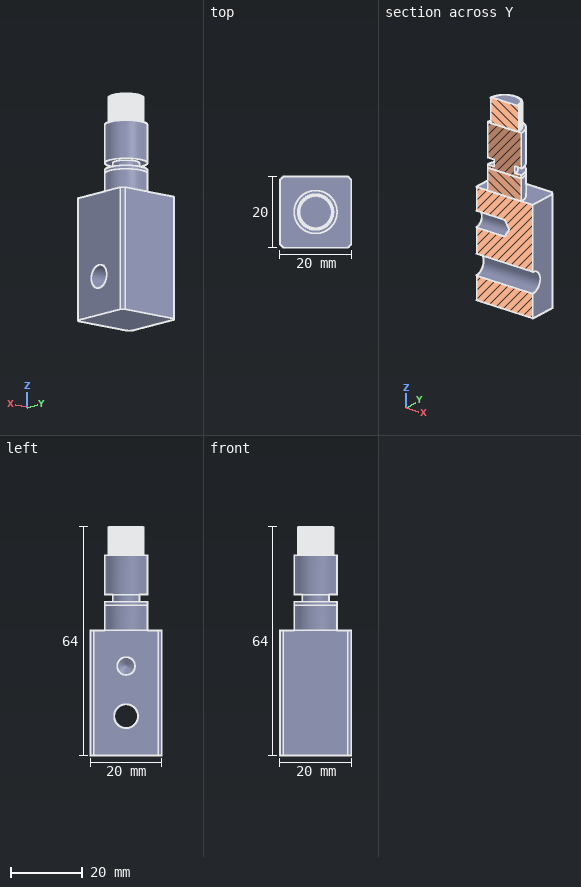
import cadquery as cq
import math

block_width = 20.0
block_height = 35.0
corner_chamfer = 1.0
cross_hole_diameter = 6.6
cross_hole_height = 11.0
blind_hole_diameter = 5.0
blind_hole_height = 25.0
blind_hole_depth = 10.0
drill_tip_angle = 118.0

stem_diameter = 12.0
bush_height = 7.0
flange_height = 1.0
neck_diameter = 7.5
neck_height = 2.0
sleeve_height = 11.0

knob_radius = 5.0
knob_height = 8.0
tooth_count = 50
groove_depth = 0.25
land_width = 0.2
knob_chamfer_width = 0.5
knob_chamfer_angle = 30.0

bush_base = block_height
flange_base = bush_base + bush_height
neck_base = flange_base + flange_height
sleeve_base = neck_base + neck_height
knob_base = sleeve_base + sleeve_height


def disc(diameter, height, base):
    """Cylinder on the Z axis standing on the given height."""
    return cq.Workplane("XY").workplane(offset=base).circle(diameter / 2).extrude(height)


def make_block():
    """Square block with chamfered upright corners and two holes from the -X face."""
    body = cq.Workplane("XY").rect(block_width, block_width).extrude(block_height)
    body = body.edges("|Z").chamfer(corner_chamfer)

    face_x = -block_width / 2
    cross_hole = (
        cq.Workplane("YZ", origin=(face_x, 0, cross_hole_height))
        .circle(cross_hole_diameter / 2)
        .extrude(block_width)
    )

    blind_radius = blind_hole_diameter / 2
    tip_length = blind_radius / math.tan(math.radians(drill_tip_angle / 2))
    blind_hole = (
        cq.Workplane("XY", origin=(face_x, 0, blind_hole_height))
        .polyline([
            (0, 0),
            (0, blind_radius),
            (blind_hole_depth, blind_radius),
            (blind_hole_depth + tip_length, 0),
        ])
        .close()
        .revolve(360, (0, 0, 0), (1, 0, 0))
    )
    return body.cut(cross_hole).cut(blind_hole)


def make_bush():
    """Plain round bush standing on the block."""
    return disc(stem_diameter, bush_height, bush_base)


def make_spindle():
    """Flange, narrow neck and sleeve turned as one piece."""
    flange = disc(stem_diameter, flange_height, flange_base)
    neck = disc(neck_diameter, neck_height, neck_base)
    sleeve = disc(stem_diameter, sleeve_height, sleeve_base)
    return flange.union(neck).union(sleeve)


def knob_point(radius, angle):
    """Point at the given radius and angle about the knob axis."""
    return radius * math.cos(angle), radius * math.sin(angle)


def make_knob():
    """Knob with straight V-grooves, narrow round lands between them and bevelled rims."""
    pitch = 2 * math.pi / tooth_count
    half_land = land_width / knob_radius / 2
    root_radius = knob_radius - groove_depth
    first_groove_angle = math.pi / 2

    outline = cq.Workplane("XY").workplane(offset=knob_base)
    outline = outline.moveTo(*knob_point(knob_radius, first_groove_angle - pitch / 2 + half_land))
    for tooth in range(tooth_count):
        groove_angle = first_groove_angle + tooth * pitch
        land_angle = groove_angle + pitch / 2
        outline = outline.lineTo(*knob_point(root_radius, groove_angle))
        outline = outline.lineTo(*knob_point(knob_radius, land_angle - half_land))
        outline = outline.threePointArc(
            knob_point(knob_radius, land_angle),
            knob_point(knob_radius, land_angle + half_land),
        )
    knurl = outline.close().extrude(knob_height)

    knob_chamfer_height = knob_chamfer_width * math.tan(math.radians(knob_chamfer_angle))
    bevelled_blank = (
        disc(2 * knob_radius, knob_height, knob_base)
        .faces(">Z")
        .chamfer(knob_chamfer_height, knob_chamfer_width)
        .faces("<Z")
        .chamfer(knob_chamfer_height, knob_chamfer_width)
    )
    return knurl.intersect(bevelled_blank)


block = make_block()
bush = make_bush()
spindle = make_spindle()
knob = make_knob()

result = cq.Compound.makeCompound([block.val(), bush.val(), spindle.val(), knob.val()])